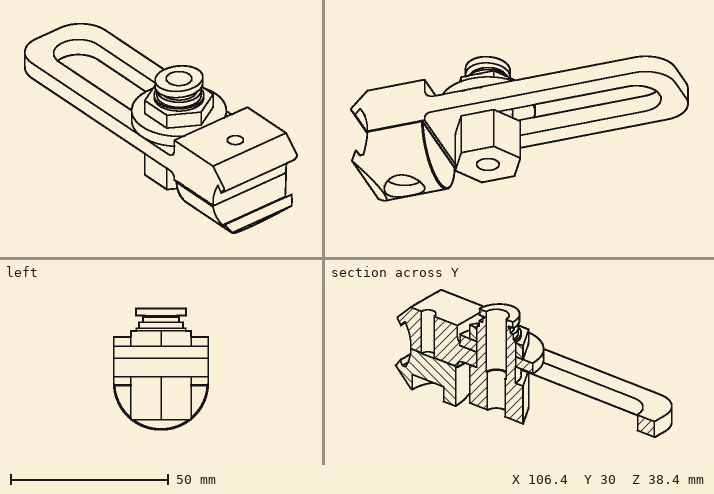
import cadquery as cq
import math


WIDTH = 30.0
ARM_THICKNESS = 5.7
ARM_END_X = -65.0
ARM_CORNER_RADIUS = 10.0
SLOT_WIDTH = 15.7
SLOT_BORDER = 7.1

BLOCK_X = 15.9
BLOCK_TOP_Z = 12.6
SPLIT_Z = -2.6
NOSE_X = 35.1
UPPER_FILLET = 3.0
LOWER_FILLET = 1.9

BORE_RADIUS = 15.0
BORE_Z = -1.8
BORE_X = NOSE_X + BORE_RADIUS
UPPER_NOTCH_Z = 6.4
UPPER_LIP_INNER = (39.3, 4.5)
UPPER_LIP_OUTER = (40.9, 6.8)
LIP_ROUNDING = 0.6
LOWER_NOTCH_Z = -9.6
LOWER_NOTCH_X = 38.4
LOWER_LIP_INNER = (39.5, -8.0)
JAW_TIP_X = 41.4

JAW_X = 16.5
JAW_RADIUS = WIDTH / 2
JAW_BOTTOM_Z = -16.9
JAW_ROUND_Z = JAW_BOTTOM_Z + JAW_RADIUS
JAW_CHAMFER = 0.3

SCREW_X = 28.1
SCREW_DIAMETER = 5.1
SCREW_POCKET_DIAMETER = 12.8
SCREW_POCKET_DEPTH = 5.3

WASHER_DIAMETER = WIDTH
WASHER_THICKNESS = 3.8
HEX_ACROSS_FLATS = 19.0
HEX_ACROSS_CORNERS = HEX_ACROSS_FLATS / math.cos(math.pi / 6)
NUT_HEIGHT = 4.9
THREAD_DIAMETER = SLOT_WIDTH
THREAD_STICKOUT = 0.9
FITTING_HEX_HEIGHT = 13.7
COLLARS = [(14.0, 1.9), (11.5, 1.6), (10.0, 0.4)]
BUTTON_LENGTH_X = 13.9
BUTTON_LENGTH_Y = 16.0
BUTTON_HEIGHT = 2.3
TUBE_SOCKET_DIAMETER = 8.1
BORE_DIAMETER = 7.1

WASHER_TOP_Z = ARM_THICKNESS + WASHER_THICKNESS
NUT_TOP_Z = WASHER_TOP_Z + NUT_HEIGHT


def bore_point(z):
    """Point (x, z) on the side of the pipe bore nearest the arm, at height z."""
    return BORE_X - math.sqrt(BORE_RADIUS**2 - (z - BORE_Z) ** 2), z


def cylinder(diameter, bottom_z, top_z, x=0.0):
    """Vertical cylinder between two heights."""
    return cq.Workplane("XY", origin=(x, 0, bottom_z)).circle(diameter / 2).extrude(top_z - bottom_z)


def hexagon(bottom_z, height):
    """Hexagonal prism on the fitting axis with two corners along X."""
    return cq.Workplane("XY", origin=(0, 0, bottom_z)).polygon(6, HEX_ACROSS_CORNERS).extrude(height)


def make_bracket():
    """Slotted arm with the upper half of the pipe clamp."""
    split_end = bore_point(SPLIT_Z)
    notch = bore_point(UPPER_NOTCH_Z)
    profile = (
        cq.Workplane("XZ")
        .moveTo(ARM_END_X, 0)
        .lineTo(BLOCK_X - LOWER_FILLET, 0)
        .radiusArc((BLOCK_X, -LOWER_FILLET), LOWER_FILLET)
        .lineTo(BLOCK_X, SPLIT_Z)
        .lineTo(*split_end)
        .radiusArc(notch, BORE_RADIUS)
        .lineTo(*UPPER_LIP_INNER)
        .lineTo(*UPPER_LIP_OUTER)
        .lineTo(NOSE_X, BLOCK_TOP_Z)
        .lineTo(BLOCK_X, BLOCK_TOP_Z)
        .lineTo(BLOCK_X, ARM_THICKNESS + UPPER_FILLET)
        .radiusArc((BLOCK_X - UPPER_FILLET, ARM_THICKNESS), UPPER_FILLET)
        .lineTo(ARM_END_X, ARM_THICKNESS)
        .close()
    )
    body = profile.extrude(WIDTH / 2, both=True)
    body = body.edges("|Z and <X").fillet(ARM_CORNER_RADIUS)
    lip_point = (UPPER_LIP_OUTER[0], 0, UPPER_LIP_OUTER[1])
    body = body.edges(cq.selectors.NearestToPointSelector(lip_point)).fillet(LIP_ROUNDING)

    slot_start_x = ARM_END_X + SLOT_BORDER
    slot_end_x = SLOT_WIDTH / 2
    slot = (
        cq.Workplane("XY", origin=((slot_start_x + slot_end_x) / 2, 0, 0))
        .slot2D(slot_end_x - slot_start_x, SLOT_WIDTH)
        .extrude(ARM_THICKNESS)
    )
    washer_seat = cylinder(WASHER_DIAMETER, ARM_THICKNESS, WASHER_TOP_Z)
    screw_hole = cylinder(SCREW_DIAMETER, SPLIT_Z, BLOCK_TOP_Z, SCREW_X)
    return body.cut(slot).cut(washer_seat).cut(screw_hole)


def make_jaw():
    """Half-round lower half of the pipe clamp."""
    split_end = bore_point(SPLIT_Z)
    notch = bore_point(LOWER_NOTCH_Z)
    tip_z = JAW_BOTTOM_Z + JAW_TIP_X - NOSE_X
    profile = (
        cq.Workplane("XZ")
        .moveTo(JAW_X, SPLIT_Z)
        .lineTo(*split_end)
        .radiusArc(notch, -BORE_RADIUS)
        .lineTo(LOWER_NOTCH_X, LOWER_NOTCH_Z)
        .lineTo(*LOWER_LIP_INNER)
        .lineTo(JAW_TIP_X, tip_z)
        .lineTo(NOSE_X, JAW_BOTTOM_Z)
        .lineTo(JAW_X, JAW_BOTTOM_Z)
        .close()
    )
    half_round = (
        cq.Workplane("YZ", origin=(JAW_X, 0, JAW_ROUND_Z))
        .circle(JAW_RADIUS)
        .extrude(JAW_TIP_X - JAW_X)
    )
    body = profile.extrude(WIDTH / 2, both=True).intersect(half_round)
    end_edges = body.faces("<X").edges()
    top_side_edges = body.faces(">Z").edges("|X")
    body = end_edges.add(top_side_edges).chamfer(JAW_CHAMFER)
    pocket_top_z = JAW_BOTTOM_Z + SCREW_POCKET_DEPTH
    return body.cut(cylinder(SCREW_POCKET_DIAMETER, JAW_BOTTOM_Z, pocket_top_z, SCREW_X))


def make_washer():
    """Plain washer on top of the arm."""
    hole = cylinder(THREAD_DIAMETER, ARM_THICKNESS, WASHER_TOP_Z)
    return cylinder(WASHER_DIAMETER, ARM_THICKNESS, WASHER_TOP_Z).cut(hole)


def make_nut():
    """Thin hexagonal nut that clamps the washer."""
    hole = cylinder(THREAD_DIAMETER, WASHER_TOP_Z, NUT_TOP_Z)
    return hexagon(WASHER_TOP_Z, NUT_HEIGHT).cut(hole)


def make_fitting():
    """Bulkhead push-in fitting: hexagon, thread through the slot, collars and oval button."""
    top_z = NUT_TOP_Z + THREAD_STICKOUT
    body = hexagon(-FITTING_HEX_HEIGHT, FITTING_HEX_HEIGHT)
    body = body.union(cylinder(THREAD_DIAMETER, 0, top_z))
    for diameter, height in COLLARS:
        body = body.union(cylinder(diameter, top_z, top_z + height))
        top_z += height
    button = (
        cq.Workplane("XY", origin=(0, 0, top_z))
        .ellipse(BUTTON_LENGTH_X / 2, BUTTON_LENGTH_Y / 2)
        .extrude(BUTTON_HEIGHT)
    )
    top_z += BUTTON_HEIGHT
    tube_socket = cylinder(TUBE_SOCKET_DIAMETER, 0, top_z)
    bore = cylinder(BORE_DIAMETER, -FITTING_HEX_HEIGHT, top_z)
    return body.union(button).cut(tube_socket).cut(bore)


bracket = make_bracket()
jaw = make_jaw()
washer = make_washer()
nut = make_nut()
fitting = make_fitting()

result = cq.Compound.makeCompound(
    [bracket.val(), jaw.val(), washer.val(), nut.val(), fitting.val()]
)